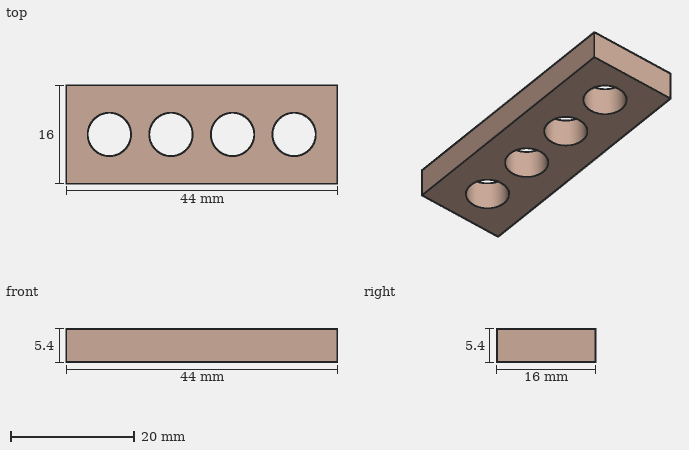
import cadquery as cq

length = 44.0
width = 16.0
thickness = 5.4

hole_diameter = 7.0
hole_count = 4
hole_pitch = 10.0

plate = cq.Workplane("XY").box(length, width, thickness)

result = (
    plate.faces(">Z")
    .workplane()
    .rarray(hole_pitch, 0.45, hole_count, 1)
    .hole(hole_diameter)
)